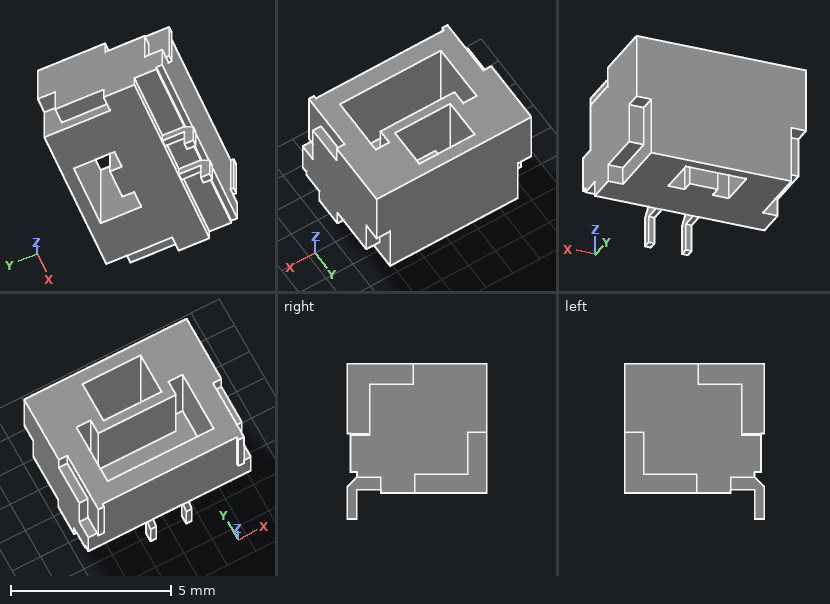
import cadquery as cq

width = 5.75
depth = 4.25
height = 4.035
wall = 0.6

lip_height = 0.65
lip_thickness = 0.2
relief_height = 0.5
relief_depth = 0.95

cavity_width = 3.75
cavity_length = 1.55
cavity_floor = 1.0
keyway_size = 0.5

window_width = 2.05
window_front = 2.45
window_length = 1.39
catch_width = 0.95
catch_projection = 0.4

pocket_depth = 0.5
pocket_length = 1.95
pocket_upper_height = 0.65
pocket_height = 2.23
clip_thickness = 0.2
clip_projection = 0.105
clip_gap = 0.045

rear_relief_strip = 0.58
rear_relief_length = 2.25
rear_relief_height = 1.89

pin_width = 0.2
pin_pitch = 1.26
pin_thickness = 0.305
pin_arm_height = 0.4
pin_drop = 0.81


def box(x_min, x_max, y_min, y_max, z_min, z_max):
    """Axis-aligned block between the given limits."""
    size = (x_max - x_min, y_max - y_min, z_max - z_min)
    return cq.Workplane("XY").box(*size, centered=False).translate((x_min, y_min, z_min))


def centred_box(x_size, y_min, y_max, z_min, z_max):
    """Block centred on the width of the part."""
    return box(-x_size / 2, x_size / 2, y_min, y_max, z_min, z_max)


def side_plate(points, x_min, thickness):
    """Extrude a YZ outline along +X, starting at x_min."""
    return cq.Workplane("YZ", origin=(x_min, 0, 0)).polyline(points).close().extrude(thickness)


def make_body():
    profile = [
        (0, lip_height),
        (0, height),
        (depth, height),
        (depth, 0),
        (relief_depth, 0),
        (relief_depth, relief_height),
        (lip_thickness, relief_height),
        (lip_thickness, lip_height),
    ]
    return side_plate(profile, -width / 2, width)


def make_cavity():
    main_back = wall + cavity_length
    cavity = centred_box(cavity_width, wall, main_back, cavity_floor, height)
    keyway = box(-cavity_width / 2, keyway_size - cavity_width / 2,
                 wall, main_back + keyway_size, cavity_floor, height)
    return cavity.union(keyway).union(keyway.mirror("YZ"))


def corner_outline(front, bottom):
    """L outline along the top and front of a side wall."""
    return [
        (front, height),
        (pocket_length, height),
        (pocket_length, height - pocket_upper_height),
        (wall, height - pocket_upper_height),
        (wall, bottom),
        (front, bottom),
    ]


def make_side_pocket():
    outline = corner_outline(0, height - pocket_height)
    return side_plate(outline, -width / 2, pocket_depth)


def make_clip():
    outline = corner_outline(-clip_projection, height - pocket_height + clip_gap)
    return side_plate(outline, pocket_depth - clip_thickness - width / 2, clip_thickness)


def make_rear_relief():
    outline = [
        (depth, 0),
        (depth, rear_relief_height),
        (depth - wall, rear_relief_height),
        (depth - wall, rear_relief_strip),
        (depth - rear_relief_length, rear_relief_strip),
        (depth - rear_relief_length, 0),
    ]
    return side_plate(outline, -width / 2, pocket_depth)


def make_pin(x_centre):
    leg_back = pin_thickness - clip_projection
    outline = [
        (relief_depth, relief_height),
        (leg_back, relief_height),
        (-clip_projection, relief_height - pin_thickness),
        (-clip_projection, -pin_drop),
        (leg_back, -pin_drop),
        (leg_back, relief_height - pin_arm_height),
        (relief_depth, relief_height - pin_arm_height),
    ]
    return side_plate(outline, x_centre - pin_width / 2, pin_width)


result = make_body().cut(make_cavity())

window_back = window_front + window_length
result = result.cut(centred_box(window_width, window_front, window_back, 0, height))
catch_back = window_front + catch_projection
result = result.union(centred_box(catch_width, window_front, catch_back, 0, rear_relief_height))

for side_cut in (make_side_pocket(), make_rear_relief()):
    result = result.cut(side_cut).cut(side_cut.mirror("YZ"))

clip = make_clip()
result = result.union(clip).union(clip.mirror("YZ"))

for side in (-1, 1):
    result = result.union(make_pin(side * pin_pitch / 2))